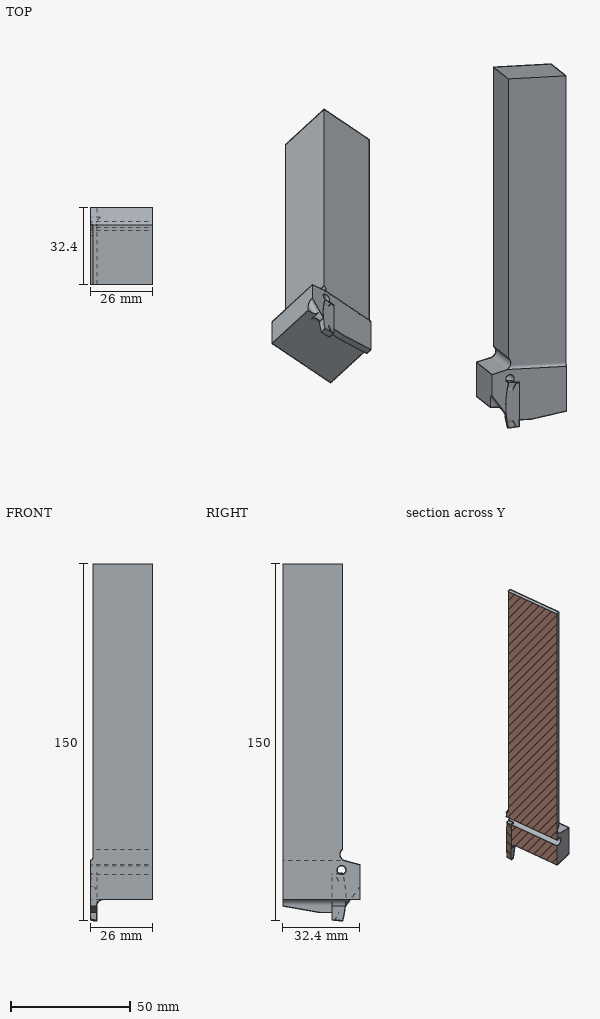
import cadquery as cq
import math

shank_size = 25.0
head_step = 1.0
total_width = shank_size + head_step
overall_height = 150.0
step_radius = 1.4
step_top = 26.8

head_depth = 32.4
head_corner_z = 23.7
head_slope = math.radians(15)
groove_radius = 2.7
groove_bottom_y = 24.0
underside_z = 9.0

blade_thickness = 2.7
root_fillet = 2.5
jaw_fillet = 2.0
blade_bottom_z = 3.6
blade_heel_z = 6.3
blade_heel_slope = math.radians(10)
jaw_angle = math.radians(53.5)
jaw_edge_z = 14.5

hole_y = 24.6
hole_z = 21.5
hole_radius = 1.8

insert_height = 20.2
insert_back_y = 20.5
insert_tip_y = shank_size
insert_bulge = 1.42
end_drop = 0.5
end_tilt = 0.3
end_drop_run = insert_tip_y - insert_back_y
insert_mid_z = insert_height / 2
insert_crown_y = insert_tip_y + insert_bulge

relief_depth = 0.22
relief_flat_z = 2.7
relief_end_z = 3.6
relief_edge_bottom_y = 21.6
relief_edge_top_y = 23.4

margin = 7.5


def holder_blank():
    """Side outline of shank, groove, head and blade over the full width."""
    center_y = groove_bottom_y + groove_radius
    tangent_y = center_y - groove_radius * math.sin(head_slope)
    tangent_z = head_corner_z + (head_depth - tangent_y) * math.tan(head_slope)
    center_z = tangent_z + groove_radius * math.cos(head_slope)
    groove_top_z = center_z + math.sqrt(groove_radius**2 - (center_y - shank_size) ** 2)
    heel_run = (blade_heel_z - blade_bottom_z) / math.tan(blade_heel_slope)
    return (
        cq.Workplane("YZ")
        .moveTo(0, blade_heel_z)
        .lineTo(heel_run, blade_bottom_z)
        .lineTo(head_depth, blade_bottom_z)
        .lineTo(head_depth, head_corner_z)
        .lineTo(tangent_y, tangent_z)
        .threePointArc((groove_bottom_y, center_z), (shank_size, groove_top_z))
        .lineTo(shank_size, overall_height)
        .lineTo(0, overall_height)
        .close()
        .extrude(total_width)
    )


def shank_step_cut():
    """Set the -X face of the shank back, with a concave arc down to the head."""
    arc_sweep = math.acos(1 - head_step / step_radius)

    def arc_point(angle):
        return (
            head_step - step_radius * (1 - math.cos(angle)),
            step_top - step_radius * math.sin(angle),
        )

    return (
        cq.Workplane("XZ")
        .moveTo(head_step, overall_height + margin)
        .lineTo(head_step, step_top)
        .threePointArc(arc_point(arc_sweep / 2), arc_point(arc_sweep))
        .lineTo(-margin, arc_point(arc_sweep)[1])
        .lineTo(-margin, overall_height + margin)
        .close()
        .extrude(-head_depth)
    )


def underside_cut():
    """Remove the head below its underside, leaving the blade and its root fillet."""
    return (
        cq.Workplane("XZ")
        .moveTo(blade_thickness, 0)
        .lineTo(blade_thickness, underside_z - root_fillet)
        .radiusArc((blade_thickness + root_fillet, underside_z), root_fillet)
        .lineTo(total_width + margin, underside_z)
        .lineTo(total_width + margin, 0)
        .close()
        .extrude(-head_depth)
    )


def jaw_face_cut():
    """Trim the blade along the sloping jaw edge, with a fillet where it meets the head."""
    edge_direction = (0, -math.cos(jaw_angle), -math.sin(jaw_angle))
    edge_length = jaw_edge_z / math.sin(jaw_angle)
    jaw_plane = cq.Plane(origin=(0, head_depth, jaw_edge_z), xDir=(1, 0, 0), normal=edge_direction)
    return (
        cq.Workplane(jaw_plane)
        .workplane(offset=-margin)
        .moveTo(-margin, 0)
        .lineTo(blade_thickness - jaw_fillet, 0)
        .radiusArc((blade_thickness, -jaw_fillet), jaw_fillet)
        .lineTo(blade_thickness, -head_depth)
        .lineTo(-margin, -head_depth)
        .close()
        .extrude(edge_length + 2 * margin)
    )


def jaw_tail_cut():
    """Clear everything beyond the jaw edge below the underside of the head."""
    underside_y = head_depth - (jaw_edge_z - underside_z) / math.tan(jaw_angle)
    bottom_y = head_depth - jaw_edge_z / math.tan(jaw_angle)
    return (
        cq.Workplane("YZ")
        .moveTo(underside_y, underside_z)
        .lineTo(bottom_y, 0)
        .lineTo(head_depth + margin, 0)
        .lineTo(head_depth + margin, underside_z)
        .close()
        .extrude(total_width)
    )


def relief_hole():
    return cq.Workplane("YZ").center(hole_y, hole_z).circle(hole_radius).extrude(total_width)


def insert_blank():
    """Insert outline: straight back, bulged front and ends that slope toward the back."""
    return (
        cq.Workplane("YZ")
        .moveTo(insert_back_y, end_drop)
        .lineTo(insert_tip_y, 0)
        .threePointArc((insert_crown_y, insert_mid_z), (insert_tip_y, insert_height))
        .lineTo(insert_back_y, insert_height - end_drop)
        .close()
        .extrude(blade_thickness)
    )


def end_clearance_cut():
    """Tilt the lower end face so that it also rises toward the -X face."""
    outward = (-end_tilt / blade_thickness, -end_drop / end_drop_run, -1)
    end_plane = cq.Plane(
        origin=(blade_thickness, insert_tip_y, 0),
        xDir=(1, 0, outward[0]),
        normal=outward,
    )
    return cq.Workplane(end_plane).rect(2 * head_depth, 2 * head_depth).extrude(margin)


def tip_relief_cut():
    """Shallow recess in the -X face of the lower tip, ending in a ramp."""
    depth_profile = (
        cq.Workplane("XZ")
        .moveTo(-margin, -margin)
        .lineTo(relief_depth, -margin)
        .lineTo(relief_depth, relief_flat_z)
        .lineTo(0, relief_end_z)
        .lineTo(-margin, relief_end_z)
        .close()
        .extrude(-head_depth)
    )
    side_limit = (
        cq.Workplane("YZ")
        .workplane(offset=-margin)
        .moveTo(relief_edge_bottom_y, 0)
        .lineTo(relief_edge_top_y, relief_end_z)
        .lineTo(head_depth, relief_end_z)
        .lineTo(head_depth, 0)
        .close()
        .extrude(2 * margin)
    )
    return depth_profile.intersect(side_limit)


def make_holder():
    return (
        holder_blank()
        .cut(shank_step_cut())
        .cut(underside_cut())
        .cut(jaw_face_cut())
        .cut(jaw_tail_cut())
        .cut(relief_hole())
        .cut(insert_blank())
    )


def make_insert():
    insert = insert_blank()
    for end_cut in (end_clearance_cut(), tip_relief_cut()):
        upper_end_cut = end_cut.mirror("XY", (0, 0, insert_mid_z))
        insert = insert.cut(end_cut).cut(upper_end_cut)
    return insert


holder = make_holder()
insert = make_insert()

result = cq.Compound.makeCompound([holder.val(), insert.val()])